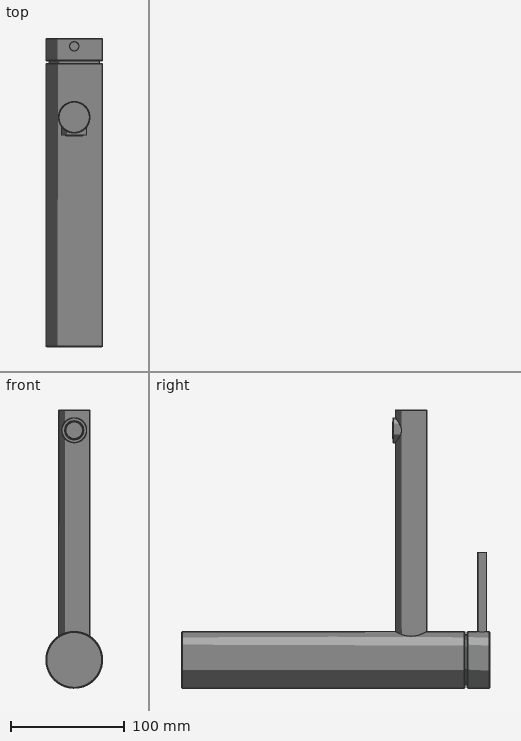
import cadquery as cq

body_length = 271.5
body_radius = 25.0
back_y = body_length / 2
front_y = -body_length / 2
end_chamfer = 0.8

cap_length = 20.0
groove_width = 2.0
groove_depth = 2.7
neck_overlap = 2.7

spout_radius = 13.9
spout_setback = 69.5
spout_y = back_y - spout_setback
spout_top_z = 220.0
spout_chamfer = 0.5

nozzle_diameter = 22.0
nozzle_radius = nozzle_diameter / 2
nozzle_reach = 2.0
nozzle_drop = 18.0
nozzle_z = spout_top_z - nozzle_drop
nozzle_chamfer = 0.3

aerator_radius = 7.5
aerator_reach = 0.5
aerator_chamfer = 0.3
ring_groove_width = 0.8
ring_groove_depth = 0.8

lever_radius = 4.0
lever_setback = 7.0
lever_y = back_y - lever_setback
lever_height = 69.5


def rod_along_y(radius, start_y, end_y, z=0.0):
    """Cylinder parallel to Y between two Y positions, on the plane X = 0."""
    return cq.Workplane("XZ", origin=(0, end_y, z)).circle(radius).extrude(end_y - start_y)


def post(radius, y, top_z):
    """Vertical cylinder rising from the body axis."""
    return cq.Workplane("XY", origin=(0, y, 0)).circle(radius).extrude(top_z)


def make_body():
    groove_back_y = back_y - cap_length
    groove_front_y = groove_back_y - groove_width
    cap = rod_along_y(body_radius, groove_back_y, back_y).edges().chamfer(end_chamfer)
    barrel = rod_along_y(body_radius, front_y, groove_front_y).edges().chamfer(end_chamfer)
    neck = rod_along_y(
        body_radius - groove_depth,
        groove_front_y - neck_overlap,
        groove_back_y + neck_overlap,
    )
    return barrel.union(neck).union(cap)


def make_nozzle():
    mouth_y = spout_y - spout_radius - nozzle_reach
    nozzle = rod_along_y(nozzle_radius, mouth_y, spout_y, nozzle_z)
    nozzle = nozzle.faces("<Y").edges().chamfer(nozzle_chamfer)

    recess_radius = aerator_radius + ring_groove_width
    recess_floor_y = mouth_y + ring_groove_depth
    recess = rod_along_y(recess_radius, mouth_y, recess_floor_y, nozzle_z)

    aerator = rod_along_y(aerator_radius, mouth_y - aerator_reach, spout_y, nozzle_z)
    aerator = aerator.faces("<Y").edges().chamfer(aerator_chamfer)
    return nozzle.cut(recess).union(aerator)


spout = post(spout_radius, spout_y, spout_top_z).faces(">Z").edges().chamfer(spout_chamfer)
lever = post(lever_radius, lever_y, body_radius + lever_height)

result = make_body().union(spout).union(make_nozzle()).union(lever)